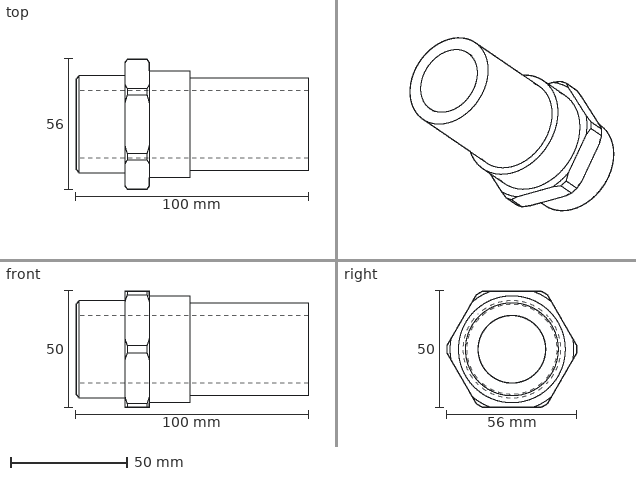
import cadquery as cq
import math

total_length = 100.0
hex_start = 21.0
hex_end = 31.5
collar_end = 49.0

thread_diameter = 42.0
collar_diameter = 46.0
tube_diameter = 40.0
bore_diameter = 29.0

lead_in_length = 1.3
lead_in_depth = 1.6

across_flats = 50.0
corner_diameter = 56.0
bevel_length = 1.0
bevel_depth = 1.4


def cylinder(start, end, diameter):
    """Solid cylinder on the X axis between two axial stations."""
    return cq.Workplane("YZ", origin=(start, 0, 0)).circle(diameter / 2).extrude(end - start)


def revolved(profile):
    """Revolve an (axial, radial) outline around the X axis."""
    return cq.Workplane("XY").polyline(profile).close().revolve(360, (0, 0, 0), (1, 0, 0))


def threaded_end():
    radius = thread_diameter / 2
    return revolved([
        (0, 0),
        (0, radius - lead_in_depth),
        (lead_in_length, radius),
        (hex_start, radius),
        (hex_start, 0),
    ])


def hexagon():
    across_corners = across_flats / math.cos(math.pi / 6)
    prism = (
        cq.Workplane("YZ", origin=(hex_start, 0, 0))
        .polygon(6, across_corners)
        .extrude(hex_end - hex_start)
    )
    radius = corner_diameter / 2
    turned_envelope = revolved([
        (hex_start, 0),
        (hex_start, radius - bevel_depth),
        (hex_start + bevel_length, radius),
        (hex_end - bevel_length, radius),
        (hex_end, radius - bevel_depth),
        (hex_end, 0),
    ])
    return prism.intersect(turned_envelope)


collar = cylinder(hex_end, collar_end, collar_diameter)
tube = cylinder(collar_end, total_length, tube_diameter)
bore = cylinder(0, total_length, bore_diameter)

result = threaded_end().union(hexagon()).union(collar).union(tube).cut(bore)